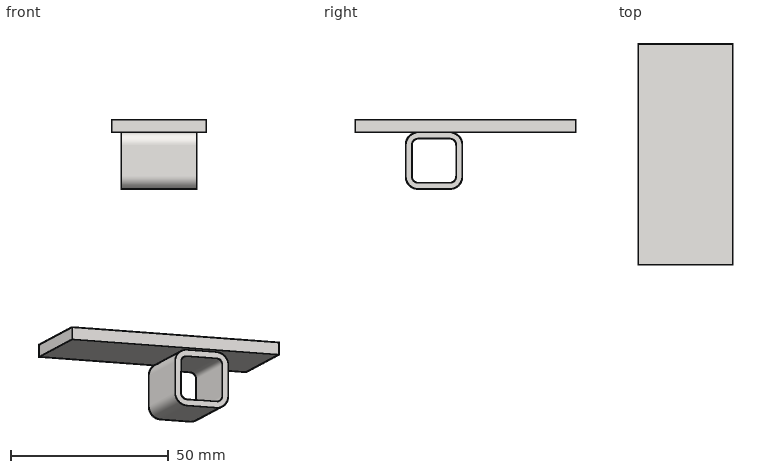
import cadquery as cq

plate_width = 30.0
plate_length = 70.0
plate_thickness = 4.0

tube_side = 18.0
tube_length = 24.0
tube_wall = 2.0
tube_outer_radius = 4.0
tube_inner_radius = tube_outer_radius - tube_wall
tube_setback = 16.0

tube_center_y = -plate_length / 2 + tube_setback + tube_side / 2
tube_center_z = -tube_side / 2


def rounded_square_bar(side, corner_radius):
    """Square bar along X with rounded long edges, at the tube's position."""
    return (
        cq.Workplane("XY")
        .box(tube_length, side, side)
        .edges("|X")
        .fillet(corner_radius)
        .translate((0, tube_center_y, tube_center_z))
    )


plate = cq.Workplane("XY").box(
    plate_width, plate_length, plate_thickness, centered=(True, True, False)
)

tube_outside = rounded_square_bar(tube_side, tube_outer_radius)
tube_bore = rounded_square_bar(tube_side - 2 * tube_wall, tube_inner_radius)
tube = tube_outside.cut(tube_bore)

result = plate.union(tube)